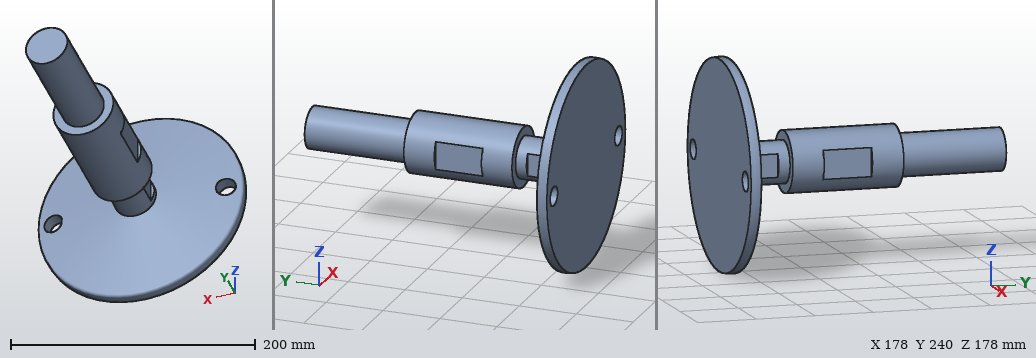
import cadquery as cq
import math

overall_length = 240.0

plate_diameter = 178.0
underside_diameter = 177.0
taper_height = 4.5
cone_angle = 10.2
cone_top = 21.8
rim_fillet = 2.5

hole_diameter = 16.5
hole_offset = 72.7
drill_length = 72.0

spindle_diameter = 36.0
spindle_flat_width = 30.2
spindle_flat_start = 26.6
spindle_flat_length = 18.7

sleeve_diameter = 52.0
sleeve_start = 55.0
sleeve_length = 94.8
sleeve_flat_width = 46.0
sleeve_flat_length = 41.3
sleeve_flat_start = sleeve_start + (sleeve_length - sleeve_flat_length) / 2

plate_radius = plate_diameter / 2
spindle_radius = spindle_diameter / 2
slope_angle = math.radians(cone_angle)
slope = math.tan(slope_angle)
rim_top = cone_top - (plate_radius - spindle_radius) * slope

fillet_reach = rim_fillet * math.tan((math.pi / 2 - slope_angle) / 2)
fillet_end = (
    plate_radius - fillet_reach * math.cos(slope_angle),
    rim_top + fillet_reach * math.sin(slope_angle),
)


def cylinder_along_y(diameter, start, length):
    """Round bar on the Y axis, from Y = start toward +Y."""
    return cq.Workplane("XZ", origin=(0, start, 0)).circle(diameter / 2).extrude(-length)


def cut_flats(body, diameter, width, start, length):
    """Cut two opposite wrench flats facing -X and +X."""
    depth = (diameter - width) / 2
    for side in (-1, 1):
        cutter = cq.Workplane("XY").box(depth, length, diameter)
        body = body.cut(cutter.translate((side * (width + depth) / 2, start + length / 2, 0)))
    return body


def make_plate():
    """Conical foot plate with a rounded upper rim and two slanted holes."""
    plate = (
        cq.Workplane("XY")
        .moveTo(0, 0)
        .lineTo(underside_diameter / 2, 0)
        .lineTo(plate_radius, taper_height)
        .lineTo(plate_radius, rim_top - fillet_reach)
        .tangentArcPoint(fillet_end, relative=False)
        .lineTo(spindle_radius, cone_top)
        .lineTo(0, cone_top)
        .close()
        .revolve(360, (0, 0, 0), (0, 1, 0))
    )
    for side in (-1, 1):
        axis = cq.Vector(side * slope, 1, 0)
        start = cq.Vector(side * hole_offset, 0, 0) - axis * cone_top
        hole = cq.Solid.makeCylinder(hole_diameter / 2, drill_length, start, axis)
        plate = plate.cut(cq.Workplane(obj=hole))
    return plate


def make_foot():
    """Foot plate and spindle in one piece."""
    spindle = cylinder_along_y(spindle_diameter, cone_top, overall_length - cone_top)
    spindle = cut_flats(
        spindle, spindle_diameter, spindle_flat_width, spindle_flat_start, spindle_flat_length
    )
    return make_plate().union(spindle)


def make_sleeve():
    """Adjusting sleeve, bored to fit the spindle."""
    sleeve = cylinder_along_y(sleeve_diameter, sleeve_start, sleeve_length)
    sleeve = cut_flats(
        sleeve, sleeve_diameter, sleeve_flat_width, sleeve_flat_start, sleeve_flat_length
    )
    return sleeve.cut(cylinder_along_y(spindle_diameter, sleeve_start, sleeve_length))


foot = make_foot()
sleeve = make_sleeve()
result = cq.Compound.makeCompound([foot.val(), sleeve.val()])